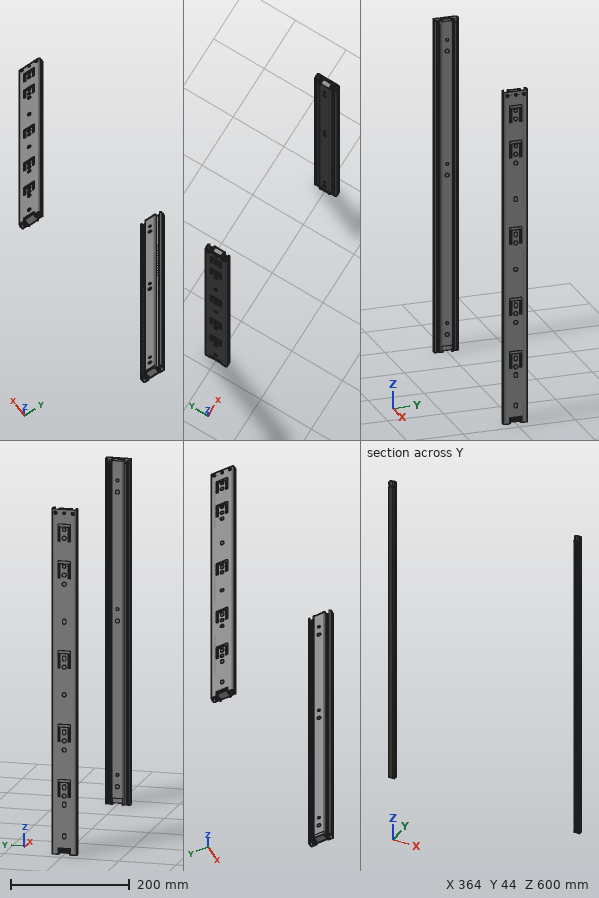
import cadquery as cq
import math


PAIR_WIDTH = 364.0
RAIL_LENGTH = 600.0
RAIL_HEIGHT = 44.0
SLIDE_DEPTH = 14.0
SHEET = 1.2
CORNER = 2.2
TOP = RAIL_LENGTH / 2
BOTTOM = -TOP

GROOVE_CENTER = 6.0
GROOVE_HALF = 1.7
GROOVE_START = GROOVE_CENTER - GROOVE_HALF
GROOVE_END = GROOVE_CENTER + GROOVE_HALF

OUTER_BULGE = 0.4
OUTER_HALF = RAIL_HEIGHT / 2 - OUTER_BULGE
OUTER_DEPTH = 11.8
LIP_CORNER = 2.0
LIP_END = 18.2

MIDDLE_BACK = 2.2
MIDDLE_FRONT = 11.5
MIDDLE_HALF = 16.4
MIDDLE_GROOVE = 1.6
MIDDLE_LIP_END = 12.6
MIDDLE_SHEET = 1.8
MIDDLE_TOP = TOP - 7.0

INNER_HALF = 11.3
INNER_BACK = 4.5
INNER_WEB = SLIDE_DEPTH - SHEET
INNER_TOP = TOP - 1.0

END_TAB_HALF = 8.0
END_TAB_BACK = 4.0
END_BEND = 1.8

NOTCH_HALF = 11.0
NOTCH_HEIGHT = 11.0
INNER_NOTCH_HALF = 8.0
INNER_NOTCH_HEIGHT = 3.0

BUFFER_HALF = 9.0
BUFFER_BOTTOM = BOTTOM + INNER_NOTCH_HEIGHT
BUFFER_TOP = BOTTOM + NOTCH_HEIGHT
BUFFER_GROOVE_WIDTH = 1.8
BUFFER_GROOVE_DEPTH = 1.0
BUFFER_GROOVE_BOTTOMS = [BOTTOM + 4.3, BOTTOM + 7.3]

TAB_TOPS = [274.4, 210.4, 54.4, -73.6, -169.6]
TAB_SLOT_HEIGHT = 30.0
TAB_SLOT_HALF = 11.0
TAB_HALF = 7.0
TAB_BAR = 4.9
TAB_CORNER = 2.0
TAB_RELIEF_DEPTH = SHEET / 2
TAB_LEG_HALF = 9.0

ROUND_HOLE = 7.0
ROUND_HOLES = [250, 186, 170, 26, -22, -102, -118, -198]
SMALL_HOLE = 6.0
SMALL_HOLES = [265, 201]
OBLONG_WIDTH = 6.0
OBLONG_LENGTH = 9.0
OBLONG_HOLES = [105, 41, -87, -183, -213, -268]
END_HOLE_HEIGHT = TOP - 6.7
END_CENTER_HOLE = 4.5
END_SIDE_HOLE = 5.0
END_SIDE_SPREAD = 15.0

INNER_PAIR_TOPS = [264, 40, -248]
INNER_PAIR_SPACING = 20.5
INNER_UPPER_HOLE = 5.0
INNER_LOWER_HOLE = 7.0


def corner_middle(center_x, center_y, radius, x_side, y_side):
    """Middle point of a quarter-round corner."""
    reach = radius * math.sqrt(0.5)
    return (center_x + x_side * reach, center_y + y_side * reach)


def symmetric_rail(half_profile, bottom, top):
    """Extrudes half a cross-section along Z and completes it across Y = 0."""
    half = half_profile.close().extrude(top - bottom).translate((0, 0, bottom))
    return half.union(half.mirror("XZ")).clean()


def block(x_range, half_width, z_range):
    """Box centred on Y = 0."""
    length = x_range[1] - x_range[0]
    height = z_range[1] - z_range[0]
    box = cq.Workplane("XY").box(length, 2 * half_width, height, centered=(False, True, False))
    return box.translate((x_range[0], 0, z_range[0]))


def web_plane(depth):
    """Sketch plane parallel to the web, with local x along Y and local y along Z."""
    return cq.Workplane("YZ", origin=(depth, 0, 0))


def round_cutter(web_back, points, diameter):
    return web_plane(web_back).pushPoints(points).circle(diameter / 2).extrude(SHEET)


def on_center(heights):
    return [(0, height) for height in heights]


def tab_slot(tab_top):
    """Inverted U-shaped slot around a tab of the outer web, with a relief step beside each leg."""
    bottom = tab_top - TAB_SLOT_HEIGHT
    bar_bottom = tab_top - TAB_BAR
    bar = block((0, SHEET), TAB_SLOT_HALF, (bar_bottom, tab_top))
    bar = bar.edges("|X and >Z").fillet(TAB_CORNER)
    relief = block((0, TAB_RELIEF_DEPTH), TAB_SLOT_HALF, (bottom, bar_bottom))
    legs = block((0, SHEET), TAB_LEG_HALF, (bottom, bar_bottom))
    tab = block((0, SHEET), TAB_HALF, (bottom, bar_bottom))
    return bar.union(relief).union(legs).cut(tab)


def outer_rail():
    corner_y = OUTER_HALF - CORNER
    lip_x = OUTER_DEPTH - LIP_CORNER
    lip_y = OUTER_HALF - LIP_CORNER
    inside_half = OUTER_HALF - SHEET
    profile = (
        cq.Workplane("XY")
        .lineTo(0, corner_y)
        .threePointArc(corner_middle(CORNER, corner_y, CORNER, -1, 1), (CORNER, OUTER_HALF))
        .lineTo(GROOVE_START, OUTER_HALF)
        .threePointArc((GROOVE_CENTER, OUTER_HALF + OUTER_BULGE), (GROOVE_END, OUTER_HALF))
        .lineTo(lip_x, OUTER_HALF)
        .threePointArc(corner_middle(lip_x, lip_y, LIP_CORNER, 1, 1), (OUTER_DEPTH, lip_y))
        .lineTo(OUTER_DEPTH, LIP_END)
        .lineTo(OUTER_DEPTH - SHEET, LIP_END)
        .lineTo(OUTER_DEPTH - SHEET, lip_y)
        .threePointArc(corner_middle(lip_x, lip_y, LIP_CORNER - SHEET, 1, 1), (lip_x, inside_half))
        .lineTo(GROOVE_END, inside_half)
        .threePointArc((GROOVE_CENTER, inside_half + OUTER_BULGE), (GROOVE_START, inside_half))
        .lineTo(CORNER, inside_half)
        .threePointArc(corner_middle(CORNER, corner_y, CORNER - SHEET, -1, 1), (SHEET, corner_y))
        .lineTo(SHEET, 0)
    )
    rail = symmetric_rail(profile, BOTTOM, TOP)
    rail = rail.cut(block((0, SHEET), NOTCH_HALF, (BOTTOM, BOTTOM + NOTCH_HEIGHT)))
    for tab_top in TAB_TOPS:
        rail = rail.cut(tab_slot(tab_top))
    rail = rail.cut(round_cutter(0, on_center(ROUND_HOLES), ROUND_HOLE))
    rail = rail.cut(round_cutter(0, on_center(SMALL_HOLES), SMALL_HOLE))
    oblongs = web_plane(0).pushPoints(on_center(OBLONG_HOLES))
    rail = rail.cut(oblongs.slot2D(OBLONG_LENGTH, OBLONG_WIDTH, 90).extrude(SHEET))
    rail = rail.cut(round_cutter(0, on_center([END_HOLE_HEIGHT]), END_CENTER_HOLE))
    end_sides = [(side * END_SIDE_SPREAD, END_HOLE_HEIGHT) for side in (-1, 1)]
    return rail.cut(round_cutter(0, end_sides, END_SIDE_HOLE))


def intermediate_rail():
    web_front = MIDDLE_BACK + MIDDLE_SHEET
    corner_x = MIDDLE_BACK + CORNER
    corner_y = MIDDLE_HALF - CORNER
    inside_half = MIDDLE_HALF - MIDDLE_SHEET
    groove_start = corner_x
    groove_end = 2 * GROOVE_CENTER - groove_start
    profile = (
        cq.Workplane("XY")
        .moveTo(MIDDLE_BACK, 0)
        .lineTo(MIDDLE_BACK, corner_y)
        .threePointArc(corner_middle(corner_x, corner_y, CORNER, -1, 1), (corner_x, MIDDLE_HALF))
        .threePointArc((GROOVE_CENTER, MIDDLE_HALF - MIDDLE_GROOVE), (groove_end, MIDDLE_HALF))
        .lineTo(MIDDLE_FRONT, MIDDLE_HALF)
        .lineTo(MIDDLE_FRONT, MIDDLE_LIP_END)
        .lineTo(MIDDLE_FRONT - MIDDLE_SHEET, MIDDLE_LIP_END)
        .lineTo(MIDDLE_FRONT - MIDDLE_SHEET, inside_half)
        .lineTo(groove_end, inside_half)
        .threePointArc((GROOVE_CENTER, inside_half - MIDDLE_GROOVE), (groove_start, inside_half))
        .threePointArc(corner_middle(corner_x, corner_y, CORNER - MIDDLE_SHEET, -1, 1), (web_front, corner_y))
        .lineTo(web_front, 0)
    )
    rail = symmetric_rail(profile, BOTTOM, MIDDLE_TOP)
    return rail.cut(block((MIDDLE_BACK, web_front), BUFFER_HALF, (BOTTOM, BUFFER_TOP)))


def end_bend_cutter():
    """Removes the sharp outer edge where the end tab is bent from the inner web."""
    axis_x = SLIDE_DEPTH - END_BEND
    axis_z = INNER_TOP - END_BEND
    corner = block((axis_x, SLIDE_DEPTH), END_TAB_HALF, (axis_z, INNER_TOP))
    bend = cq.Workplane("XZ", origin=(axis_x, 0, axis_z)).circle(END_BEND)
    return corner.cut(bend.extrude(END_TAB_HALF, both=True))


def inner_rail():
    corner_x = SLIDE_DEPTH - CORNER
    corner_y = INNER_HALF - CORNER
    inside_half = INNER_HALF - SHEET
    profile = (
        cq.Workplane("XY")
        .moveTo(SLIDE_DEPTH, 0)
        .lineTo(SLIDE_DEPTH, corner_y)
        .threePointArc(corner_middle(corner_x, corner_y, CORNER, 1, 1), (corner_x, INNER_HALF))
        .lineTo(INNER_BACK, INNER_HALF)
        .lineTo(INNER_BACK, inside_half)
        .lineTo(corner_x, inside_half)
        .threePointArc(corner_middle(corner_x, corner_y, CORNER - SHEET, 1, 1), (INNER_WEB, corner_y))
        .lineTo(INNER_WEB, 0)
    )
    rail = symmetric_rail(profile, BOTTOM, INNER_TOP)
    rail = rail.union(block((END_TAB_BACK, INNER_WEB), END_TAB_HALF, (INNER_TOP - SHEET, INNER_TOP)))
    rail = rail.cut(end_bend_cutter())
    notch_range = (BOTTOM, BOTTOM + INNER_NOTCH_HEIGHT)
    rail = rail.cut(block((INNER_WEB, SLIDE_DEPTH), INNER_NOTCH_HALF, notch_range))
    lower_heights = [height - INNER_PAIR_SPACING for height in INNER_PAIR_TOPS]
    rail = rail.cut(round_cutter(INNER_WEB, on_center(INNER_PAIR_TOPS), INNER_UPPER_HOLE))
    return rail.cut(round_cutter(INNER_WEB, on_center(lower_heights), INNER_LOWER_HOLE))


def buffer():
    """Block in the bottom end with grooves across its mounting side."""
    body = block((0, INNER_WEB), BUFFER_HALF, (BUFFER_BOTTOM, BUFFER_TOP))
    for groove_bottom in BUFFER_GROOVE_BOTTOMS:
        groove_top = groove_bottom + BUFFER_GROOVE_WIDTH
        body = body.cut(block((0, BUFFER_GROOVE_DEPTH), BUFFER_HALF, (groove_bottom, groove_top)))
    return body


bodies = []
for make_body in (outer_rail, intermediate_rail, inner_rail, buffer):
    left = make_body().translate((-PAIR_WIDTH / 2, 0, 0))
    bodies += [left.val(), left.mirror("YZ").val()]
result = cq.Compound.makeCompound(bodies)